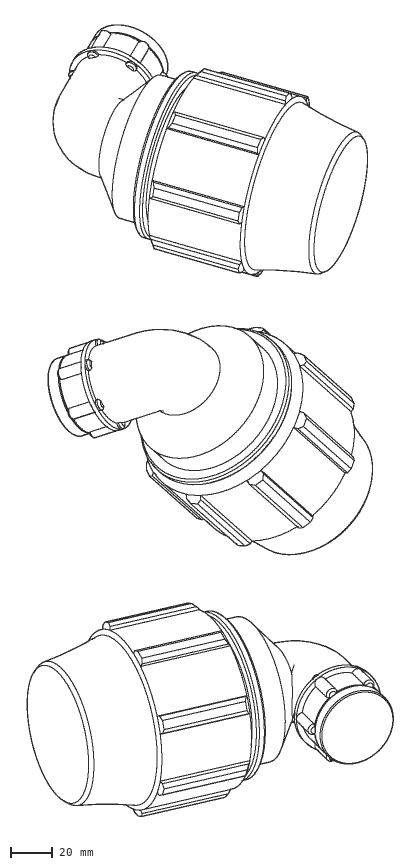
import cadquery as cq
import math


overall_length = 155.6

pipe_radius = 39.4 / 2
bend_radius = 12.1
branch_end = 57.0
end_ring_chamfer = 0.6

end_ring_start = 50.1
flange_radius = 45.3 / 2
flange_start = 34.0
flange_width = 2.3
lug_count = 6
lug_radius = 3.0
lug_reach = 22.5
lug_start = 31.9
lug_length = end_ring_start - lug_start
lug_chamfer = 1.1

cone_start = 14.8
cone_end = 28.5
body_radius = 72.0 / 2
collar_start = 41.4
collar_width = 4.8
collar_radius = 83.6 / 2
collar_chamfer = 1.1

nut_start = 50.7
nut_end = 98.8
nut_radius = 44.7
skirt_start = 100.0
skirt_radius = 42.0
skirt_hollow = 0.6
tip_start = 130.9
tip_radius = 35.6
tip_end = overall_length - flange_radius
tip_end_radius = 34.1

rib_count = 8
rib_shoulder_distance = 46.2
rib_top_distance = 48.0
rib_width = 8.7
rib_top_width = 4.5
rib_front_slope = 2.6
rib_back_slope = 1.0


def y_cylinder(radius, start, length):
    """Cylinder along +Y on the branch axis."""
    plane = cq.Plane(origin=(0, start, 0), xDir=(1, 0, 0), normal=(0, 1, 0))
    return cq.Workplane(plane).circle(radius).extrude(length)


def x_cylinder(radius, start, length):
    """Cylinder along +X on the main axis."""
    return cq.Workplane("YZ", origin=(start, 0, 0)).circle(radius).extrude(length)


def make_elbow():
    """Quarter bend tighter than the pipe: only the section outside the bend axis is turned."""
    half_chord = math.sqrt(pipe_radius**2 - bend_radius**2)
    section = (
        cq.Workplane("XZ", origin=(bend_radius, bend_radius, 0))
        .moveTo(0, -half_chord)
        .threePointArc((-bend_radius - pipe_radius, 0), (0, half_chord))
        .close()
    )
    return section.revolve(90, (0, 0, 0), (0, 1, 0))


def make_branch():
    pipe = y_cylinder(pipe_radius, bend_radius, end_ring_start - bend_radius)
    ring = y_cylinder(pipe_radius, end_ring_start, branch_end - end_ring_start)
    ring = ring.edges().chamfer(end_ring_chamfer)
    flange = y_cylinder(flange_radius, flange_start, flange_width)
    branch = pipe.union(ring).union(flange)
    lug = y_cylinder(lug_radius, lug_start, lug_length).edges("%CIRCLE").chamfer(lug_chamfer)
    lug = lug.translate((lug_reach - lug_radius, 0, 0))
    for index in range(lug_count):
        branch = branch.union(lug.rotate((0, 0, 0), (0, 1, 0), index * 360 / lug_count))
    return branch


def make_body():
    """Neck, cone, cylinder, nut and skirt turned as one profile, plus the collar."""
    skirt_middle = (
        (skirt_start + tip_start) / 2,
        (skirt_radius + tip_radius) / 2 - skirt_hollow,
    )
    body = (
        cq.Workplane("XY")
        .moveTo(bend_radius, 0)
        .lineTo(bend_radius, pipe_radius)
        .lineTo(cone_start, pipe_radius)
        .lineTo(cone_end, body_radius)
        .lineTo(nut_start, body_radius)
        .lineTo(nut_start, nut_radius)
        .lineTo(nut_end, nut_radius)
        .lineTo(skirt_start, skirt_radius)
        .threePointArc(skirt_middle, (tip_start, tip_radius))
        .lineTo(tip_end, tip_end_radius)
        .lineTo(tip_end, 0)
        .close()
        .revolve(360, (0, 0, 0), (1, 0, 0))
    )
    collar = x_cylinder(collar_radius, collar_start, collar_width).edges().chamfer(collar_chamfer)
    return body.union(collar)


def make_rib():
    """Bar with bevelled shoulders on top of the nut, both ends sloping down to the nut surface."""
    root = body_radius
    cross_section = [
        (-rib_width / 2, root),
        (-rib_width / 2, rib_shoulder_distance),
        (-rib_top_width / 2, rib_top_distance),
        (rib_top_width / 2, rib_top_distance),
        (rib_width / 2, rib_shoulder_distance),
        (rib_width / 2, root),
    ]
    side_outline = [
        (nut_start, root),
        (nut_start, nut_radius),
        (nut_start + rib_front_slope, rib_top_distance),
        (nut_end - rib_back_slope, rib_top_distance),
        (nut_end, nut_radius),
        (nut_end, root),
    ]
    bar = cq.Workplane("YZ", origin=(nut_start, 0, 0)).polyline(cross_section).close()
    bar = bar.extrude(nut_end - nut_start)
    ends = cq.Workplane("XZ").polyline(side_outline).close().extrude(rib_width, both=True)
    return bar.intersect(ends)


def make_ribbed_body():
    body = make_body()
    rib = make_rib()
    pitch = 360 / rib_count
    for index in range(rib_count):
        body = body.union(rib.rotate((0, 0, 0), (1, 0, 0), (index + 0.5) * pitch))
    return body


result = make_ribbed_body().union(make_elbow()).union(make_branch())